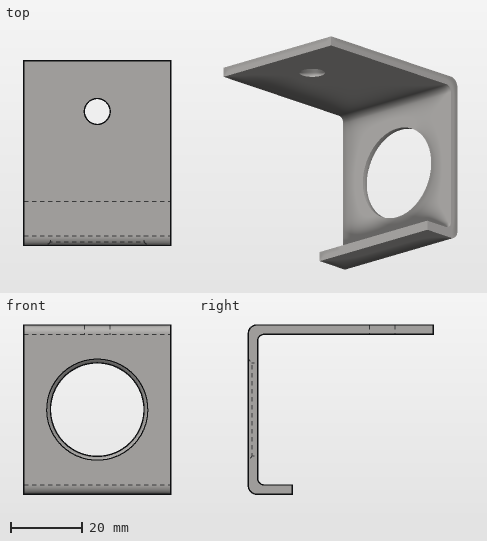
import cadquery as cq

width = 41.27
top_length = 51.98
height = 47.61
lip_length = 12.4
thickness = 2.7
outer_bend_radius = 2.54
inner_bend_radius = 1.8

mounting_hole_diameter = 7.2
mounting_hole_from_back = 14.3

opening_diameter = 26.2
countersink_diameter = 28.4
countersink_depth = (countersink_diameter - opening_diameter) / 2

back_y = top_length
opening_z = height / 2


def bent_plate():
    """C-shaped section in the YZ plane, extruded across the width."""
    section = (
        cq.Workplane("YZ")
        .moveTo(lip_length, 0)
        .lineTo(0, 0)
        .lineTo(0, height)
        .lineTo(back_y, height)
        .lineTo(back_y, height - thickness)
        .lineTo(thickness, height - thickness)
        .lineTo(thickness, thickness)
        .lineTo(lip_length, thickness)
        .close()
    )
    plate = section.extrude(width / 2, both=True)
    for z in (0, height):
        plate = plate.edges(cq.selectors.NearestToPointSelector((0, 0, z))).fillet(outer_bend_radius)
    for z in (thickness, height - thickness):
        plate = plate.edges(cq.selectors.NearestToPointSelector((0, thickness, z))).fillet(inner_bend_radius)
    return plate


def mounting_hole():
    """Cutter through the top flange only."""
    return (
        cq.Workplane("XY", origin=(0, back_y - mounting_hole_from_back, height - thickness))
        .circle(mounting_hole_diameter / 2)
        .extrude(thickness)
    )


def front_opening():
    """Cutter through the front wall, with a conical entry at the front face."""
    axis = cq.Vector(0, 1, 0)
    centre = cq.Vector(0, 0, opening_z)
    bore = cq.Solid.makeCylinder(opening_diameter / 2, thickness, centre, axis)
    cone = cq.Solid.makeCone(
        countersink_diameter / 2, opening_diameter / 2, countersink_depth, centre, axis
    )
    return cq.Workplane(bore).union(cq.Workplane(cone))


result = bent_plate().cut(mounting_hole()).cut(front_opening())